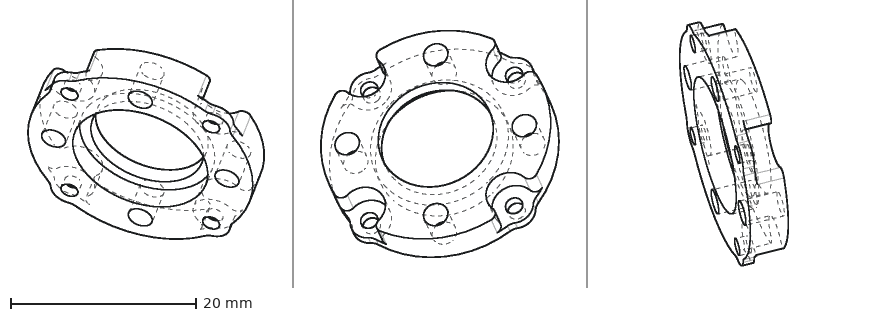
import cadquery as cq
import math

outer_radius = 12.7
thickness = 4.32
flange_thickness = 1.27

bore_radius = 6.35
counterbore_radius = 7.62
counterbore_depth = 2.54

main_hole_radius = 1.35
main_hole_distance = 9.78

ear_offset = 8.0
ear_distance = ear_offset * math.sqrt(2)
ear_radius = 2.12
ear_blend_radius = 1.6
ear_hole_radius = 0.95

scallop_radius = 2.45
scallop_corner_radius = 0.85

axis_angles = [0, 90, 180, 270]
diagonal_angles = [45, 135, 225, 315]


def cylinder(radius, start, end):
    """Cylinder on the part's axis between two Y positions."""
    plane = cq.Workplane("XZ", origin=(0, start, 0))
    return plane.circle(radius).extrude(start - end)


def cylinder_ring(radius, distance, angles, start, end):
    """Cylinders along Y, placed at the given angles and distance from the axis."""
    centres = [
        (distance * math.cos(math.radians(angle)), distance * math.sin(math.radians(angle)))
        for angle in angles
    ]
    plane = cq.Workplane("XZ", origin=(0, start, 0))
    return plane.pushPoints(centres).circle(radius).extrude(start - end)


def make_flange():
    """Front disc with four ears blended into its rim."""
    disc = cylinder(outer_radius, 0, flange_thickness)
    ears = cylinder_ring(ear_radius, ear_distance, diagonal_angles, 0, flange_thickness)
    return disc.union(ears).edges("|Y").fillet(ear_blend_radius)


def make_rear_ring():
    """Disc behind the flange, scalloped at each ear with rounded corners."""
    disc = cylinder(outer_radius, flange_thickness, thickness)
    scallops = cylinder_ring(
        scallop_radius, ear_distance, diagonal_angles, flange_thickness, thickness
    )
    return disc.cut(scallops).edges("|Y").fillet(scallop_corner_radius)


def make_bore():
    """Through bore together with its front counterbore."""
    bore = cylinder(bore_radius, 0, thickness)
    return bore.union(cylinder(counterbore_radius, 0, counterbore_depth))


main_holes = cylinder_ring(main_hole_radius, main_hole_distance, axis_angles, 0, thickness)
ear_holes = cylinder_ring(ear_hole_radius, ear_distance, diagonal_angles, 0, flange_thickness)

body = make_flange().union(make_rear_ring())
result = body.cut(make_bore()).cut(main_holes).cut(ear_holes)